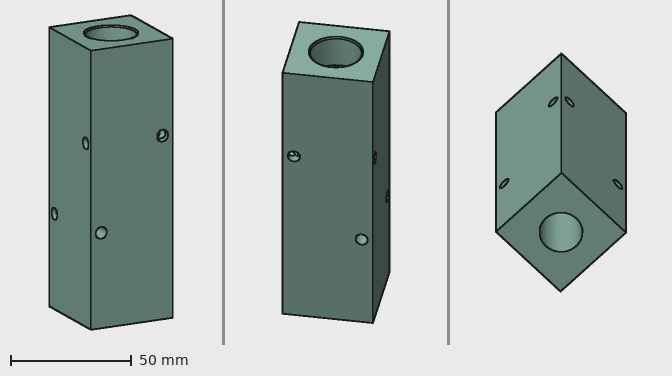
import cadquery as cq

side = 38.1
height = 120.65

bore_diameter = 17.8
port_rim_diameter = 21.34
port_mouth_diameter = 22.6
port_depth = 13.5
port_taper = 1 / 16
port_chamfer = (port_mouth_diameter - port_rim_diameter) / 2
port_floor_diameter = port_rim_diameter - port_taper * (port_depth - port_chamfer)

mount_diameter = 5.1
mount_edge_distance = 4.8
mount_offset = side / 2 - mount_edge_distance
mount_height = 19.05


def make_block():
    """Plain rectangular block."""
    return cq.Workplane("XY").box(side, side, height)


def make_bore():
    """Through bore, stepped out to the tapered port and chamfered at the top face."""
    top = height / 2
    floor = top - port_depth
    profile = [
        (0, -top),
        (bore_diameter / 2, -top),
        (bore_diameter / 2, floor),
        (port_floor_diameter / 2, floor),
        (port_rim_diameter / 2, top - port_chamfer),
        (port_mouth_diameter / 2, top),
        (0, top),
    ]
    return cq.Workplane("XZ").polyline(profile).close().revolve(360, (0, 0, 0), (0, 1, 0))


def make_mount_holes(plane):
    """Two diagonally opposite holes running through the block, normal to the plane."""
    centres = [(sign * mount_offset, sign * mount_height) for sign in (1, -1)]
    return cq.Workplane(plane).pushPoints(centres).circle(mount_diameter / 2).extrude(side / 2, both=True)


result = make_block().cut(make_bore())
for hole_plane in ("XZ", "YZ"):
    result = result.cut(make_mount_holes(hole_plane))